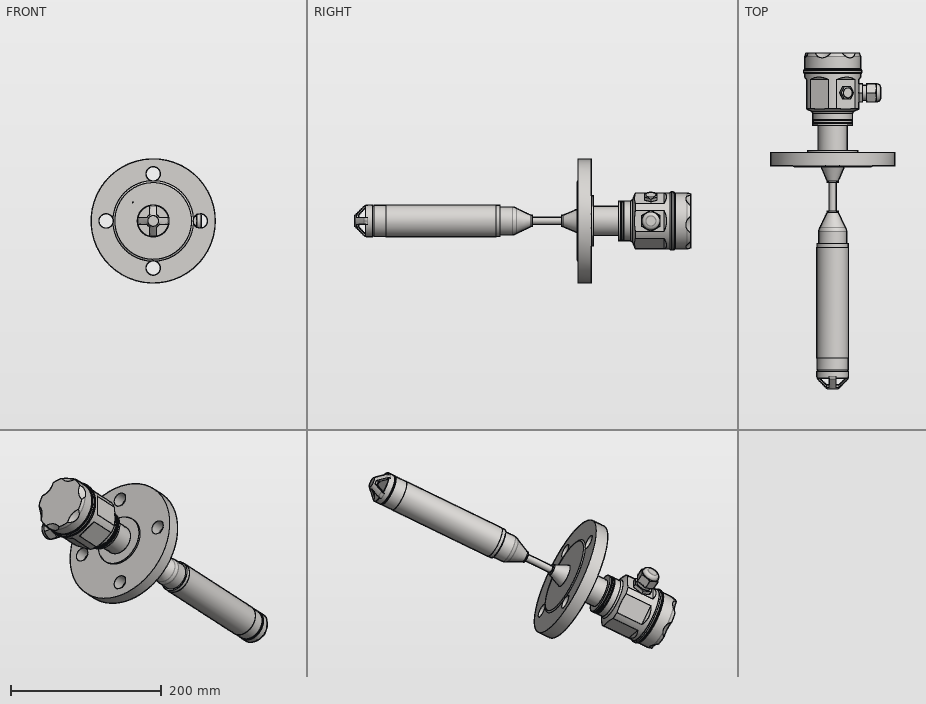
import cadquery as cq
import math

TOTAL_LENGTH = 446.5

CAGE_LENGTH = 14.5
CAGE_TIP_RADIUS = 7.0
CAGE_WALL = 3.5
NOSE_RADIUS = 9.5
NOSE_LENGTH = 6.0
RIB_WIDTH = 9.5
CAGE_BEND_RADIUS = 6.3
FLOAT_END_BEVEL = 0.5

FLOAT_RADIUS = 21.2
BAND_RADIUS = 21.0
FLOAT_GROOVE_RADIUS = 20.0
FLOAT_GROOVE_BOTTOM = 23.5
FLOAT_GROOVE_TOP = 25.5
LOWER_BAND_TOP = 41.5
UPPER_BAND_BOTTOM = 188.0
FLOAT_TOP = 193.5
SHOULDER_RADIUS = 18.8
SHOULDER_TOP = 209.5
SHOULDER_ARC_MID = (18.5, 212.0)
FLOAT_CONE_BASE_RADIUS = 17.0
FLOAT_CONE_BOTTOM = 214.8
FLOAT_CONE_TOP = 234.5
CONE_TIP_RADIUS = 7.5
CONE_RIM = 2.0

ROD_RADIUS = 5.0
FLANGE_CONE_TIP = 274.5
FLANGE_CONE_BASE_RADIUS = 15.5
RAISED_FACE_BOTTOM = 295.0
RAISED_FACE_RADIUS = 51.0
RAISED_FACE_ROOT_RADIUS = 53.5
FLANGE_BOTTOM = 296.5
FLANGE_TOP = 314.5
FLANGE_RADIUS = 82.5
BOLT_COUNT = 4
BOLT_CIRCLE_RADIUS = 62.5
BOLT_HOLE_RADIUS = 9.5
WELD_PLATE_RADIUS = 33.5
WELD_PLATE_TOP = 317.0

TUBE_RADIUS = 19.5
NECK_BOTTOM = 350.0
NECK_RADIUS = 26.55
NECK_GROOVE_RADIUS = 25.0
NECK_DISC_TOP = 352.5
SEAL_BOTTOM = 354.0
SEAL_TOP = 356.5
NECK_SLEEVE_BOTTOM = 357.5
NECK_SLEEVE_TOP = 366.0
NECK_CONE_RADIUS = 28.0
NECK_CONE_BOTTOM = 369.0

BODY_RADIUS = 37.3
BODY_BOTTOM = 373.0
PAD_COUNT = 6
PAD_DISTANCE = 34.6
PAD_TOP = 410.8
PAD_RAMP_HEIGHT = 3.0
PAD_RAMP_LENGTH = 4.0

COLLAR_RADIUS = 39.0
COLLAR_BOTTOM = 419.0
COLLAR_TOP = 424.5
COLLAR_BEVEL_RADIAL = 1.0
COLLAR_BEVEL_LENGTH = 2.0
LID_GROOVE_RADIUS = 36.5
LID_BOTTOM = 426.0
LID_RADIUS = 37.3
LID_BEVEL_RADIAL = 1.5
LID_BEVEL_LENGTH = 5.0
SCALLOP_COUNT = 6
SCALLOP_START_ANGLE = 52.0
SCALLOP_TILT = 45.0
SCALLOP_RADIUS = 27.0
SCALLOP_DEPTH = 6.5

FITTING_Y = 393.5
PLUG_ANGLE = 60.0
PLUG_FACE_DISTANCE = 40.0
PLUG_ACROSS_FLATS = 16.5
PLUG_FACE_RADIUS = 6.5
PLUG_BEVEL_HEIGHT = 1.55
GLAND_ACROSS_FLATS = 24.5
GLAND_BASE_END = 39.7
GLAND_WAIST_RADIUS = 10.3
GLAND_WAIST_END = 45.0
GLAND_NUT_END = 58.0
GLAND_NUT_BEVEL_HEIGHT = 1.5
GLAND_END = 64.0
GLAND_CAP_RADIUS = 12.0
GLAND_CAP_ROUND = 5.5


def turned(points):
    """Solid of revolution about Y from (radius, y) points, closed along the axis."""
    outline = [(0, points[0][1])] + points + [(0, points[-1][1])]
    return cq.Workplane("XY").polyline(outline).close().revolve(360, (0, 0), (0, 1))


def around_axis(shape, angle):
    """Turn a shape built on the +X side about Y, from +X towards +Z."""
    return shape.rotate((0, 0, 0), (0, 1, 0), -angle)


def round_bar(radius, start, end):
    """Round bar along X at the fitting height."""
    return cq.Workplane("YZ", origin=(start, FITTING_Y, 0)).circle(radius).extrude(end - start)


def corner_radius(across_flats):
    """Corner radius of a regular hexagon."""
    return across_flats / 2 / math.cos(math.radians(30))


def hexagon_bar(across_flats, start, end):
    """Hexagonal bar along X at the fitting height, with flats facing +Y and -Y."""
    bar = cq.Workplane("YZ", origin=(start, FITTING_Y, 0)).polygon(6, 2 * corner_radius(across_flats))
    return bar.extrude(end - start).rotate((0, FITTING_Y, 0), (1, FITTING_Y, 0), 30)


def bevelled_hexagon(across_flats, start, end, face_radius, bevel_height):
    """Hexagonal bar whose outer end is bevelled down to a round face."""
    radius = corner_radius(across_flats)
    envelope = round_bar(radius, start, end).faces(">X").edges().chamfer(bevel_height, radius - face_radius)
    return hexagon_bar(across_flats, start, end).intersect(envelope)


def make_cage():
    """Closed float end narrowing to four sloping ribs that carry a flat nose."""
    tip = turned([
        (CAGE_TIP_RADIUS, 0),
        (FLOAT_RADIUS, CAGE_LENGTH),
        (FLOAT_RADIUS, FLOAT_GROOVE_BOTTOM),
    ])
    bend = cq.selectors.NearestToPointSelector((FLOAT_RADIUS, CAGE_LENGTH, 0))
    tip = tip.edges("%CIRCLE").edges(bend).fillet(CAGE_BEND_RADIUS)

    rib_zone = cq.Workplane("XY")
    for length_x, length_z in ((4 * FLOAT_RADIUS, RIB_WIDTH), (RIB_WIDTH, 4 * FLOAT_RADIUS)):
        rib_zone = rib_zone.union(cq.Workplane("XZ").rect(length_x, length_z).extrude(-FLOAT_GROOVE_BOTTOM))
    nose_zone = cq.Workplane("XZ").circle(NOSE_RADIUS).extrude(-NOSE_LENGTH)
    hollow = turned([(NOSE_RADIUS, NOSE_LENGTH), (FLOAT_RADIUS - CAGE_WALL, CAGE_LENGTH)])
    ribs = tip.intersect(rib_zone.union(nose_zone)).cut(hollow)

    float_end = turned([
        (FLOAT_RADIUS - FLOAT_END_BEVEL, CAGE_LENGTH),
        (FLOAT_RADIUS, CAGE_LENGTH + FLOAT_END_BEVEL),
        (FLOAT_RADIUS, FLOAT_GROOVE_BOTTOM),
    ])
    return ribs.union(float_end.cut(rib_zone))


def make_float():
    return (
        cq.Workplane("XY")
        .moveTo(0, FLOAT_GROOVE_BOTTOM)
        .lineTo(FLOAT_GROOVE_RADIUS, FLOAT_GROOVE_BOTTOM)
        .lineTo(FLOAT_GROOVE_RADIUS, FLOAT_GROOVE_TOP)
        .lineTo(BAND_RADIUS, FLOAT_GROOVE_TOP)
        .lineTo(BAND_RADIUS, LOWER_BAND_TOP)
        .lineTo(FLOAT_RADIUS, LOWER_BAND_TOP)
        .lineTo(FLOAT_RADIUS, UPPER_BAND_BOTTOM)
        .lineTo(BAND_RADIUS, UPPER_BAND_BOTTOM)
        .lineTo(BAND_RADIUS, FLOAT_TOP)
        .lineTo(SHOULDER_RADIUS, FLOAT_TOP)
        .lineTo(SHOULDER_RADIUS, SHOULDER_TOP)
        .threePointArc(SHOULDER_ARC_MID, (FLOAT_CONE_BASE_RADIUS, FLOAT_CONE_BOTTOM))
        .lineTo(CONE_TIP_RADIUS, FLOAT_CONE_TOP)
        .lineTo(CONE_TIP_RADIUS, FLOAT_CONE_TOP + CONE_RIM)
        .lineTo(0, FLOAT_CONE_TOP + CONE_RIM)
        .close()
        .revolve(360, (0, 0), (0, 1))
    )


def make_flange():
    """Rod, cone, flange with raised face, weld plate and housing tube."""
    body = turned([
        (ROD_RADIUS, FLOAT_CONE_TOP),
        (ROD_RADIUS, FLANGE_CONE_TIP),
        (CONE_TIP_RADIUS, FLANGE_CONE_TIP),
        (CONE_TIP_RADIUS, FLANGE_CONE_TIP + CONE_RIM),
        (FLANGE_CONE_BASE_RADIUS, RAISED_FACE_BOTTOM),
        (RAISED_FACE_RADIUS, RAISED_FACE_BOTTOM),
        (RAISED_FACE_ROOT_RADIUS, FLANGE_BOTTOM),
        (FLANGE_RADIUS, FLANGE_BOTTOM),
        (FLANGE_RADIUS, FLANGE_TOP),
        (WELD_PLATE_RADIUS, FLANGE_TOP),
        (WELD_PLATE_RADIUS, WELD_PLATE_TOP),
        (TUBE_RADIUS, WELD_PLATE_TOP),
        (TUBE_RADIUS, NECK_BOTTOM),
    ])
    holes = (
        cq.Workplane("XZ")
        .polarArray(BOLT_CIRCLE_RADIUS, 0, 360, BOLT_COUNT)
        .circle(BOLT_HOLE_RADIUS)
        .extrude(-FLANGE_TOP)
    )
    return body.cut(holes)


def make_pad_cutter():
    """Block that leaves one flat pad on the +X side, ending in a ramp towards the lid."""
    ramp_end = PAD_DISTANCE + PAD_RAMP_HEIGHT
    half_width = math.sqrt(BODY_RADIUS**2 - PAD_DISTANCE**2)
    return (
        cq.Workplane("XY")
        .polyline([
            (PAD_DISTANCE, NECK_CONE_BOTTOM),
            (PAD_DISTANCE, PAD_TOP),
            (ramp_end, PAD_TOP + PAD_RAMP_LENGTH),
            (ramp_end, NECK_CONE_BOTTOM),
        ])
        .close()
        .extrude(half_width, both=True)
    )


def make_housing():
    body = turned([
        (NECK_RADIUS, NECK_BOTTOM),
        (NECK_RADIUS, NECK_DISC_TOP),
        (NECK_GROOVE_RADIUS, NECK_DISC_TOP),
        (NECK_GROOVE_RADIUS, SEAL_BOTTOM),
        (NECK_RADIUS, SEAL_BOTTOM),
        (NECK_RADIUS, SEAL_TOP),
        (NECK_GROOVE_RADIUS, SEAL_TOP),
        (NECK_GROOVE_RADIUS, NECK_SLEEVE_BOTTOM),
        (NECK_RADIUS, NECK_SLEEVE_BOTTOM),
        (NECK_RADIUS, NECK_SLEEVE_TOP),
        (NECK_CONE_RADIUS, NECK_CONE_BOTTOM),
        (BODY_RADIUS, BODY_BOTTOM),
        (BODY_RADIUS, COLLAR_BOTTOM),
    ])
    cutter = make_pad_cutter()
    for index in range(PAD_COUNT):
        body = body.cut(around_axis(cutter, index * 360 / PAD_COUNT))
    return body


def make_lid():
    lid = turned([
        (COLLAR_RADIUS - COLLAR_BEVEL_RADIAL, COLLAR_BOTTOM),
        (COLLAR_RADIUS, COLLAR_BOTTOM + COLLAR_BEVEL_LENGTH),
        (COLLAR_RADIUS, COLLAR_TOP - COLLAR_BEVEL_LENGTH),
        (COLLAR_RADIUS - COLLAR_BEVEL_RADIAL, COLLAR_TOP),
        (LID_GROOVE_RADIUS, COLLAR_TOP),
        (LID_GROOVE_RADIUS, LID_BOTTOM),
        (LID_RADIUS, LID_BOTTOM),
        (LID_RADIUS, TOTAL_LENGTH - LID_BEVEL_LENGTH),
        (LID_RADIUS - LID_BEVEL_RADIAL, TOTAL_LENGTH),
    ])
    scallop = (
        cq.Workplane("XZ")
        .circle(SCALLOP_RADIUS)
        .extrude(2 * LID_RADIUS, both=True)
        .translate((SCALLOP_RADIUS, 0, 0))
        .rotate((0, 0, 0), (0, 0, 1), SCALLOP_TILT)
        .translate((LID_RADIUS, TOTAL_LENGTH - SCALLOP_DEPTH, 0))
    )
    for index in range(SCALLOP_COUNT):
        lid = lid.cut(around_axis(scallop, SCALLOP_START_ANGLE + index * 360 / SCALLOP_COUNT))
    return lid


def make_plug():
    plug = bevelled_hexagon(PLUG_ACROSS_FLATS, 0, PLUG_FACE_DISTANCE, PLUG_FACE_RADIUS, PLUG_BEVEL_HEIGHT)
    return around_axis(plug, PLUG_ANGLE)


def make_gland():
    base = hexagon_bar(GLAND_ACROSS_FLATS, 0, GLAND_BASE_END)
    waist = round_bar(GLAND_WAIST_RADIUS, 0, GLAND_WAIST_END)
    nut = bevelled_hexagon(
        GLAND_ACROSS_FLATS, GLAND_WAIST_END, GLAND_NUT_END, GLAND_CAP_RADIUS, GLAND_NUT_BEVEL_HEIGHT
    )
    cap = round_bar(GLAND_CAP_RADIUS, GLAND_WAIST_END, GLAND_END)
    cap = cap.faces(">X").edges().fillet(GLAND_CAP_ROUND)
    return base.union(waist).union(nut).union(cap)


result = make_float()
for section in (make_cage(), make_flange(), make_housing(), make_lid(), make_plug(), make_gland()):
    result = result.union(section)